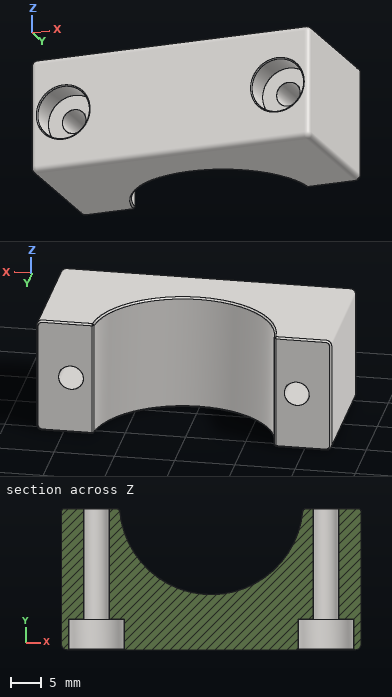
import cadquery as cq

length = 49.0
depth = 23.1
height = 19.5
edge_radius = 1.0
edge_chamfer = 0.3

saddle_radius = 15.0
saddle_axis_gap = 1.0

hole_spacing = 37.5
hole_diameter = 4.1
counterbore_diameter = 9.0
counterbore_depth = 5.0
counterbore_chamfer = 0.2

front_y = -depth / 2
back_y = depth / 2


def rounded_block():
    """Block with every edge rounded except those around the back face."""
    block = cq.Workplane("XY").box(length, depth, height)
    return block.edges("not(>Y)").fillet(edge_radius)


def cut_saddle(body):
    """Cut the saddle along Z and break its edges and the back-face edges."""
    axis_y = back_y + saddle_axis_gap
    saddle = cq.Workplane("XY").center(0, axis_y).circle(saddle_radius).extrude(height, both=True)
    body = body.cut(saddle)
    saddle_rims = body.edges("%CIRCLE and (>Z or <Z)")
    back_edges = body.faces(">Y").edges()
    return body.newObject(saddle_rims.vals() + back_edges.vals()).chamfer(edge_chamfer)


def screw_hole_cutter(x):
    """Stepped hole along Y with a chamfered mouth on the front face."""
    hole_radius = hole_diameter / 2
    bore_radius = counterbore_diameter / 2
    mouth_radius = bore_radius + counterbore_chamfer
    bore_end_y = front_y + counterbore_depth
    profile = (
        cq.Workplane("XY")
        .moveTo(0, front_y)
        .lineTo(mouth_radius, front_y)
        .lineTo(bore_radius, front_y + counterbore_chamfer)
        .lineTo(bore_radius, bore_end_y)
        .lineTo(hole_radius, bore_end_y)
        .lineTo(hole_radius, back_y)
        .lineTo(0, back_y)
        .close()
    )
    return profile.revolve(360, (0, 0, 0), (0, 1, 0)).translate((x, 0, 0))


result = cut_saddle(rounded_block())
for hole_x in (-hole_spacing / 2, hole_spacing / 2):
    result = result.cut(screw_hole_cutter(hole_x))